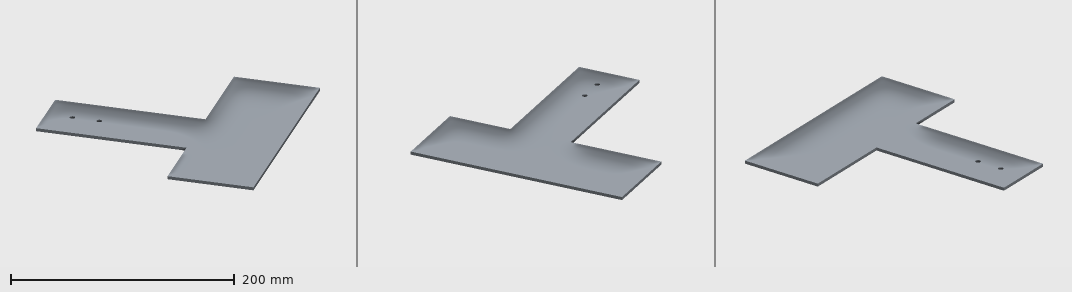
import cadquery as cq

thickness = 3.0
stem_length = 140.0
stem_width = 60.0
head_length = 80.0
head_front = 60.0
head_back = 90.0
hole_diameter = 5.0
first_hole_x = 25.0
hole_spacing = 25.0

head_width = head_front + stem_width + head_back


def make_plate():
    """T-shaped plate; the origin is at the middle of the stem's free end."""
    stem = cq.Workplane("XY").box(
        stem_length, stem_width, thickness, centered=(False, True, False)
    )
    head = (
        cq.Workplane("XY")
        .box(head_length, head_width, thickness, centered=False)
        .translate((stem_length, -stem_width / 2 - head_front, 0))
    )
    return stem.union(head)


def make_holes():
    """Two through holes along the stem's centre line."""
    centres = [(first_hole_x, 0), (first_hole_x + hole_spacing, 0)]
    return (
        cq.Workplane("XY")
        .pushPoints(centres)
        .circle(hole_diameter / 2)
        .extrude(thickness)
    )


result = make_plate().cut(make_holes())